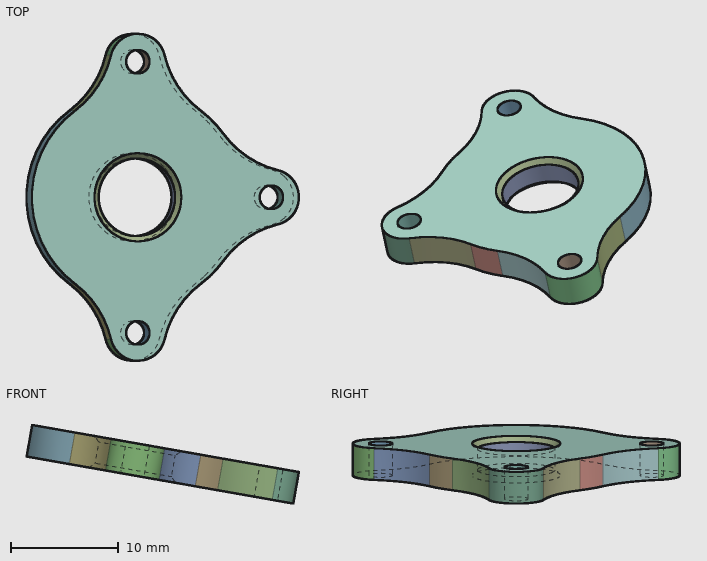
import cadquery as cq
import math

thickness = 3.0
tilt_angle = 10.0
body_radius = 10.0
ear_radius = 2.6
ear_distance = 12.6
blend_radius = 9.0
ear_angles = [-90.0, 0.0, 90.0]
ear_hole_diameter = 2.2
bore_diameter = 7.2
bore_chamfer = 0.5
full_turn = 360.0

body_to_blend = body_radius + blend_radius
ear_to_blend = ear_radius + blend_radius
blend_offset = math.degrees(math.acos(
    (body_to_blend**2 + ear_distance**2 - ear_to_blend**2)
    / (2 * body_to_blend * ear_distance)
))


def polar(radius, angle):
    """Point at a radius and an angle in degrees around the plate centre."""
    return (
        radius * math.cos(math.radians(angle)),
        radius * math.sin(math.radians(angle)),
    )


def toward(start, target, distance):
    """Point at a distance from start on the ray through target."""
    span = math.dist(start, target)
    return tuple(s + (t - s) * distance / span for s, t in zip(start, target))


def ear_tangent(ear_angle, side):
    """Point where the blend on one side (-1 or +1) meets the ear arc."""
    blend_center = polar(body_to_blend, ear_angle + side * blend_offset)
    return toward(polar(ear_distance, ear_angle), blend_center, ear_radius)


def blend_middle(ear_angle, side):
    """Point halfway along the concave blend arc."""
    blend_center = polar(body_to_blend, ear_angle + side * blend_offset)
    body_end = polar(body_radius, ear_angle + side * blend_offset)
    ear_end = ear_tangent(ear_angle, side)
    chord_middle = tuple((b + e) / 2 for b, e in zip(body_end, ear_end))
    return toward(blend_center, chord_middle, blend_radius)


def make_plate():
    """Round body with three ears, drawn counterclockwise ear by ear."""
    outline = cq.Workplane("XY").moveTo(*polar(body_radius, ear_angles[0] - blend_offset))
    next_angles = ear_angles[1:] + [ear_angles[0] + full_turn]
    for angle, next_angle in zip(ear_angles, next_angles):
        body_middle = polar(body_radius, (angle + next_angle) / 2)
        next_body_start = polar(body_radius, next_angle - blend_offset)
        ear_tip = polar(ear_distance + ear_radius, angle)
        outline = (
            outline
            .threePointArc(blend_middle(angle, -1), ear_tangent(angle, -1))
            .threePointArc(ear_tip, ear_tangent(angle, 1))
            .threePointArc(blend_middle(angle, 1), polar(body_radius, angle + blend_offset))
            .threePointArc(body_middle, next_body_start)
        )
    return outline.close().extrude(thickness)


def cut_ear_holes(plate):
    """Through hole concentric with each ear."""
    centers = [polar(ear_distance, angle) for angle in ear_angles]
    return plate.faces(">Z").workplane(origin=(0, 0, 0)).pushPoints(centers).hole(ear_hole_diameter)


def cut_bore(plate):
    """Central through bore, chamfered at both faces."""
    bore = cq.Workplane("XY").circle(bore_diameter / 2).extrude(thickness)
    mouth_radius = bore_diameter / 2 + bore_chamfer
    lower_mouth = cq.Workplane("XY").add(
        cq.Solid.makeCone(mouth_radius, bore_diameter / 2, bore_chamfer)
    )
    upper_mouth = lower_mouth.mirror("XY").translate((0, 0, thickness))
    return plate.cut(bore).cut(lower_mouth).cut(upper_mouth)


flat_plate = cut_bore(cut_ear_holes(make_plate()))
result = flat_plate.rotate((0, 0, 0), (0, 1, 0), tilt_angle)